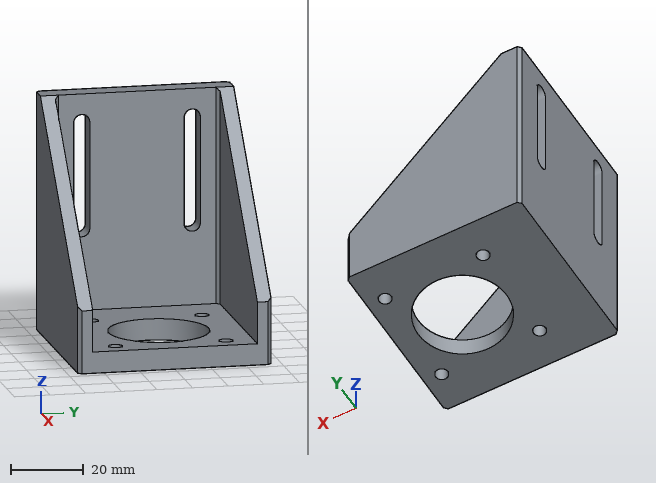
import cadquery as cq

length = 55.1
width = 54.3
height = 67.0

back_thickness = 6.0
floor_thickness = back_thickness
side_thickness = 4.0
front_height = 17.75
corner_chamfer = 1.0

bore_diameter = 28.0
bore_x = 34.0
screw_diameter = 3.8
screw_pitch = 31.0

slot_width = 4.5
slot_length = 34.45
slot_top_margin = 5.8
slot_center_z = height - slot_top_margin - slot_length / 2


def make_body():
    """Wedge profile with chamfered vertical corners."""
    block = cq.Workplane("XY").box(length, width, height, centered=(False, True, False))
    block = block.edges("|Z").chamfer(corner_chamfer)
    profile = (
        cq.Workplane("XZ")
        .polyline([(0, 0), (length, 0), (length, front_height), (back_thickness, height), (0, height)])
        .close()
        .extrude(width / 2, both=True)
    )
    return block.intersect(profile)


def make_pocket():
    """Space between the side walls, open at the front and top."""
    pocket = cq.Workplane("XY").box(
        length, width - 2 * side_thickness, height, centered=(False, True, False)
    )
    pocket = pocket.edges("|Z and <X").chamfer(corner_chamfer)
    return pocket.translate((back_thickness, 0, floor_thickness))


def make_floor_holes():
    """Central bore and the four screw holes around it."""
    floor = cq.Workplane("XY").center(bore_x, 0)
    bore = floor.circle(bore_diameter / 2).extrude(floor_thickness)
    screws = (
        floor.rect(screw_pitch, screw_pitch, forConstruction=True)
        .vertices()
        .circle(screw_diameter / 2)
        .extrude(floor_thickness)
    )
    return bore.union(screws)


def make_slots():
    """Two upright slots through the back plate, in line with the screw holes."""
    return (
        cq.Workplane("YZ")
        .pushPoints([(side * screw_pitch / 2, slot_center_z) for side in (-1, 1)])
        .slot2D(slot_length, slot_width, 90)
        .extrude(back_thickness)
    )


result = make_body().cut(make_pocket()).cut(make_floor_holes()).cut(make_slots())